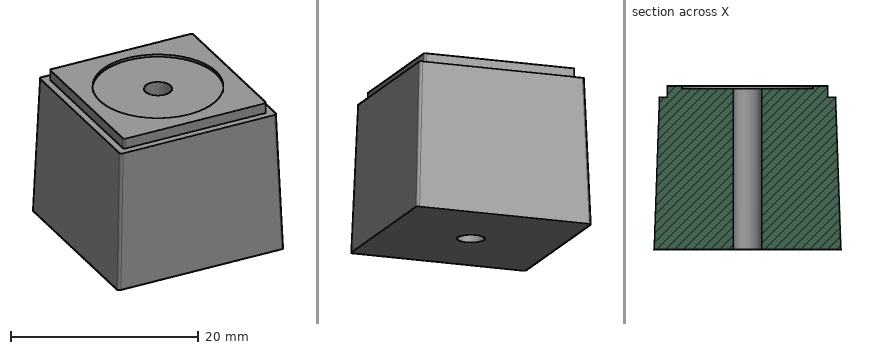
import cadquery as cq
import math

base_width = 20.0
total_height = 17.5

step_height = 1.2
step_width = 17.2
step_corner_radius = 0.2
draft_angle = 2.0
body_corner_radius = 0.3

recess_diameter = 14.0
recess_depth = 0.3
hole_diameter = 3.0

body_height = total_height - step_height
body_top_width = base_width - 2 * body_height * math.tan(math.radians(draft_angle))


def make_body():
    """Square frustum standing on Z = 0, with its four slanted corners rounded."""
    frustum = (
        cq.Workplane("XY")
        .rect(base_width, base_width)
        .workplane(offset=body_height)
        .rect(body_top_width, body_top_width)
        .loft(ruled=True)
    )
    slanted_edges = frustum.edges("not(#Z)")
    return slanted_edges.fillet(body_corner_radius)


def make_step():
    """Straight-sided square step sitting on the body."""
    return (
        cq.Workplane("XY", origin=(0, 0, body_height))
        .rect(step_width, step_width)
        .extrude(step_height)
        .edges("|Z")
        .fillet(step_corner_radius)
    )


def cut_recess_and_hole(block):
    """Sink the round recess into the top face and drill the hole right through."""
    top_face = block.faces(">Z").workplane(origin=(0, 0, total_height))
    return top_face.cboreHole(hole_diameter, recess_diameter, recess_depth)


result = cut_recess_and_hole(make_body().union(make_step()))